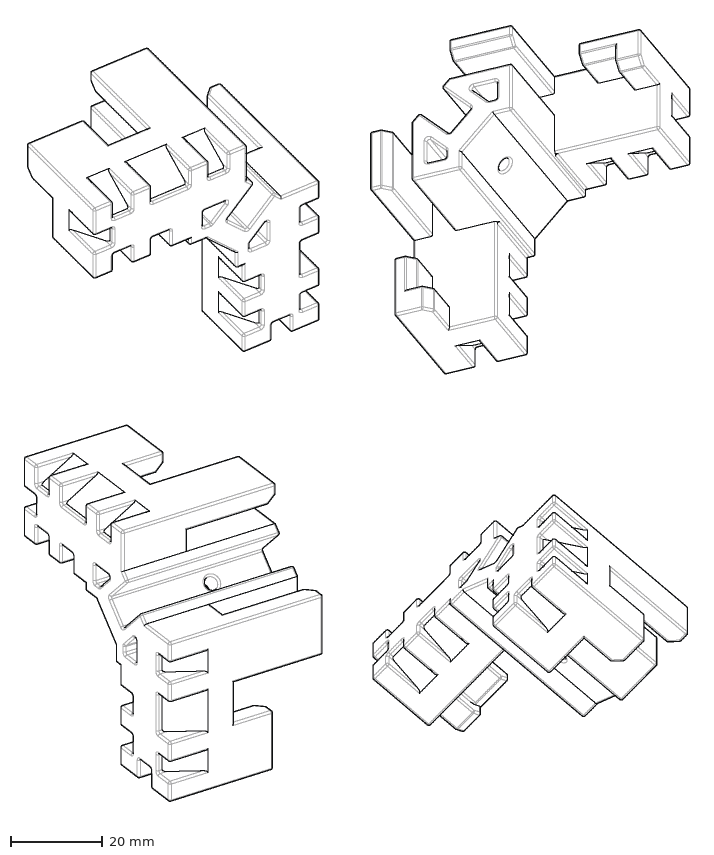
import cadquery as cq
import math

size = 59.0
plate_length = 40.0
plate_depth = plate_length / 2
grid = plate_length / 8
edge_radius = 0.5
tolerance = 0.005

body_start = 23.05
lip_start = 13.0
tongue_width = 3 * grid
tongue_depth = 4.7
lip_width = 6.0
lipped_tongue_width = 14.8
lip_depth = 8.75
tongue_chamfer = 2.0

slot_start = 6 * grid
slot_depth = grid
ramp_angle = math.radians(30)

hub_near = 5 * grid
hub_far = 49.0
hub_under = 37.15
diagonal_near = 29.4
groove_width = 7.5
groove_floor_sum = 74.7
window_wall = 3.55
window_offset = 10.1
hole_diameter = 3.2
hole_x = 15.0


def mirror_arms(shape):
    """Mirror a shape across the plane Y = Z, which swaps the two arms."""
    return shape.mirror((0, 1, -1), (0, 0, 0))


def side_profile(points):
    """Start a closed outline in the Y-Z plane, extruding towards +X."""
    return cq.Workplane("YZ").polyline(points).close()


def convex_edges(body):
    """Outward edges to be rounded, leaving out smooth joins and the shallow break where a ramp starts."""
    solid = body.val()
    step = 0.03
    shallow_break = 0.6
    found = []
    for edge in body.edges().vals():
        faces = [face for face in body.faces().vals() if any(edge.isSame(e) for e in face.Edges())]
        if len(faces) != 2:
            continue
        middle = edge.positionAt(0.5)
        spread = faces[0].normalAt(middle) - faces[1].normalAt(middle)
        if spread.Length > shallow_break and not solid.isInside(middle + spread * step):
            found.append(edge)
    return found


def on_line(edge, y, z):
    """True for an edge centred on the X-parallel line at (y, z), or on that line's mirror image."""
    center = edge.Center()
    return math.dist(sorted([center.y, center.z]), [y, z]) < tolerance


def tongue(start, near, far, depth):
    """Bar under the top face, from X = start into the plate, with a chamfered lower end."""
    outline = [
        (start, size),
        (body_start + edge_radius, size),
        (body_start + edge_radius, size - depth),
        (start + tongue_chamfer, size - depth),
        (start, size - depth + tongue_chamfer),
    ]
    return cq.Workplane("XZ", origin=(0, near, 0)).polyline(outline).close().extrude(near - far)


def plate():
    """Top plate with its long tongue beside the hub and its lipped tongue at the free end."""
    body = cq.Workplane("XY").box(plate_length - body_start, plate_length, plate_depth, centered=False)
    body = body.translate((body_start, 0, size - plate_depth))
    body = body.union(tongue(0, plate_length - tongue_width, plate_length, tongue_depth))
    body = body.union(tongue(lip_start, 0, lipped_tongue_width, tongue_depth))
    body = body.union(tongue(lip_start, 0, lip_width, lip_depth))
    inner_corner = cq.selectors.BoxSelector(
        (lip_start + tolerance, lip_width - tolerance, size - tongue_depth - tolerance),
        (body_start, lip_width + tolerance, size - tongue_depth + tolerance),
    )
    return body.edges(inner_corner).fillet(edge_radius)


def hub():
    """Symmetric link between the plates."""
    outline = [
        (hub_near, hub_far),
        (plate_length, hub_far),
        (hub_far, plate_length),
        (hub_far, hub_near),
        (hub_under, hub_near),
        (hub_under, diagonal_near),
        (diagonal_near, hub_under),
        (hub_near, hub_under),
    ]
    return side_profile(outline).extrude(plate_length)


def groove():
    """Diagonal channel opening towards +Y and +Z."""
    half = groove_width / 2 * math.sqrt(2) / 2
    low = groove_floor_sum / 2
    outline = [
        (low - half, low + half),
        (low + half, low - half),
        (size + half, size - half),
        (size - half, size + half),
    ]
    return side_profile(outline).extrude(plate_length).edges("|X").fillet(edge_radius)


def window():
    """Lightening hole above the diagonal, running the full length."""
    near = hub_near + window_wall
    top = hub_far - window_wall
    bottom = hub_under + window_wall
    outline = [
        (near, top),
        (top - window_offset, top),
        (bottom - window_offset, bottom),
        (near, bottom),
    ]
    return side_profile(outline).extrude(plate_length).edges("|X").fillet(edge_radius)


def slot_cutter(width):
    """Ramped slot cut into the plane Z = 0, centred on Y = 0, with rounded rims and floor corners."""
    r = edge_radius
    half = width / 2
    ramp_end = slot_start + slot_depth / math.tan(ramp_angle)
    ramp = (
        cq.Workplane("XZ", origin=(0, half + r, 0))
        .moveTo(slot_start, 0)
        .lineTo(ramp_end, -slot_depth)
        .lineTo(plate_length, -slot_depth)
        .lineTo(plate_length, 0)
        .close()
        .extrude(2 * (half + r))
    )
    section = (
        cq.Workplane("YZ")
        .moveTo(-half - r, 0)
        .radiusArc((-half, -r), r)
        .lineTo(-half, r - slot_depth)
        .radiusArc((r - half, -slot_depth), -r)
        .lineTo(half - r, -slot_depth)
        .radiusArc((half, r - slot_depth), -r)
        .lineTo(half, -r)
        .radiusArc((half + r, 0), r)
        .close()
        .extrude(plate_length)
    )
    return ramp.intersect(section)


def slots():
    """All slots of the top plate: three above, two below and one in the free end."""
    narrow = slot_cutter(grid)
    wide = slot_cutter(2 * grid)
    underside = narrow.rotate((0, 0, 0), (1, 0, 0), 180)
    end_slot = narrow.rotate((0, 0, 0), (1, 0, 0), 90)
    cutters = end_slot.translate((0, 0, size - plate_depth / 2))
    for cutter, y, z in [
        (narrow, 1.5 * grid, size),
        (wide, 4 * grid, size),
        (narrow, 6.5 * grid, size),
        (underside, 1.5 * grid, size - plate_depth),
        (underside, 3.5 * grid, size - plate_depth),
    ]:
        cutters = cutters.union(cutter.translate((0, y, z)))
    return cutters


def hole():
    """Through hole from the diagonal underside to the groove floor."""
    middle = (hub_under + diagonal_near) / 2
    plane = cq.Plane(origin=(hole_x, middle, middle), xDir=(1, 0, 0), normal=(0, 1, 1))
    wall = (groove_floor_sum / 2 - middle) * math.sqrt(2)
    return cq.Workplane(plane).circle(hole_diameter / 2).extrude(2 * wall, both=True)


def corner_fillet():
    """Concave fillet between the top plate's underside and the hub."""
    y = hub_near
    z = size - plate_depth
    return (
        cq.Workplane("YZ", origin=(body_start + edge_radius, 0, 0))
        .moveTo(y, z)
        .lineTo(y - edge_radius, z)
        .radiusArc((y, z - edge_radius), edge_radius)
        .close()
        .extrude(plate_length - body_start - 2 * edge_radius)
    )


body = plate().union(mirror_arms(plate())).union(hub())
for feature in [groove(), hole(), window(), mirror_arms(window()), slots(), mirror_arms(slots())]:
    body = body.cut(feature)
outer_edges = [edge for edge in convex_edges(body) if not on_line(edge, plate_length, hub_far)]
body = body.newObject(outer_edges).fillet(edge_radius)
result = body.union(corner_fillet()).union(mirror_arms(corner_fillet()))